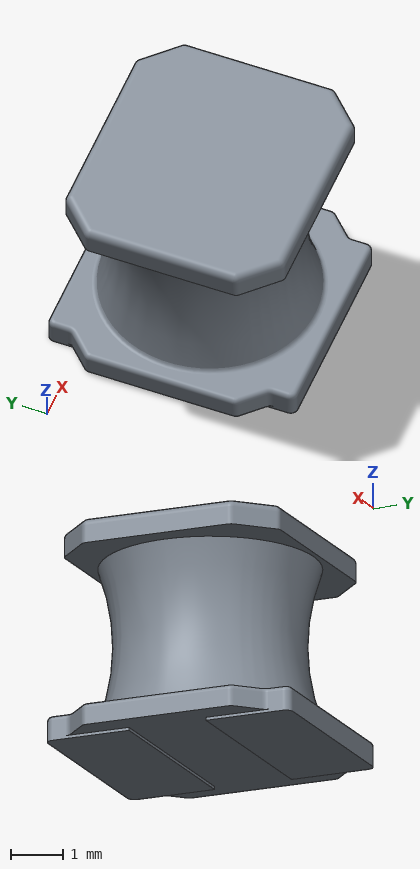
import cadquery as cq

length_x = 5.1
length_y = 5.1
height = 4.2

flange_thickness = 0.5
top_width_y = 4.5
corner_chamfer = 0.71
vertical_radius = 0.15
top_edge_radius = 0.15
base_edge_radius = 0.1

terminal_width = 4.1
terminal_reach = 1.75
terminal_drop = 0.06

core_top_radius = 2.15
core_foot_radius = 2.19
core_waist_radius = 1.865
core_root_radius = 0.1

base_top = flange_thickness
top_underside = height - flange_thickness


def chamfered_plate(z_bottom, thickness):
    """Rectangular plate with its four corners cut at 45 degrees, not yet rounded."""
    plate = cq.Workplane("XY").workplane(offset=z_bottom).rect(length_x, top_width_y).extrude(thickness)
    return plate.edges("|Z").chamfer(corner_chamfer)


def make_top_flange():
    flange = chamfered_plate(top_underside, flange_thickness)
    flange = flange.edges("|Z").fillet(vertical_radius)
    return flange.faces(">Z").edges().fillet(top_edge_radius)


def make_base():
    """Chamfered plate crossed by a longer bar whose ends stand out in Y."""
    thickness = base_top - terminal_drop
    bar = (
        cq.Workplane("XY")
        .workplane(offset=terminal_drop)
        .rect(terminal_width, length_y)
        .extrude(thickness)
    )
    base = chamfered_plate(terminal_drop, thickness).union(bar)
    base = base.edges("|Z").fillet(vertical_radius)
    return base.faces(">Z").edges().fillet(base_edge_radius)


def make_terminals():
    """Thin pads below the base, one at each Y end, with rounded outer corners."""
    gap = length_y - 2 * terminal_reach
    pads = cq.Workplane("XY").rect(terminal_width, length_y).extrude(terminal_drop)
    pads = pads.edges("|Z").fillet(vertical_radius)
    return pads.cut(cq.Workplane("XY").rect(length_x, gap).extrude(terminal_drop))


def make_core():
    """Spool core: a concave arc revolved about Z."""
    waist_z = (base_top + top_underside) / 2
    return (
        cq.Workplane("XZ")
        .moveTo(0, base_top)
        .lineTo(core_foot_radius, base_top)
        .threePointArc((core_waist_radius, waist_z), (core_top_radius, top_underside))
        .lineTo(0, top_underside)
        .close()
        .revolve(360, (0, 0), (0, 1))
    )


def round_core_root(body):
    """Blend the foot of the core into the top face of the base."""
    root = cq.selectors.BoxSelector(
        (-core_root_radius, -core_root_radius, base_top - core_root_radius),
        (core_root_radius, core_root_radius, base_top + core_root_radius),
    )
    return body.edges("%CIRCLE").edges(root).fillet(core_root_radius)


spool_foot = round_core_root(make_base().union(make_core()))
result = spool_foot.union(make_top_flange()).union(make_terminals())